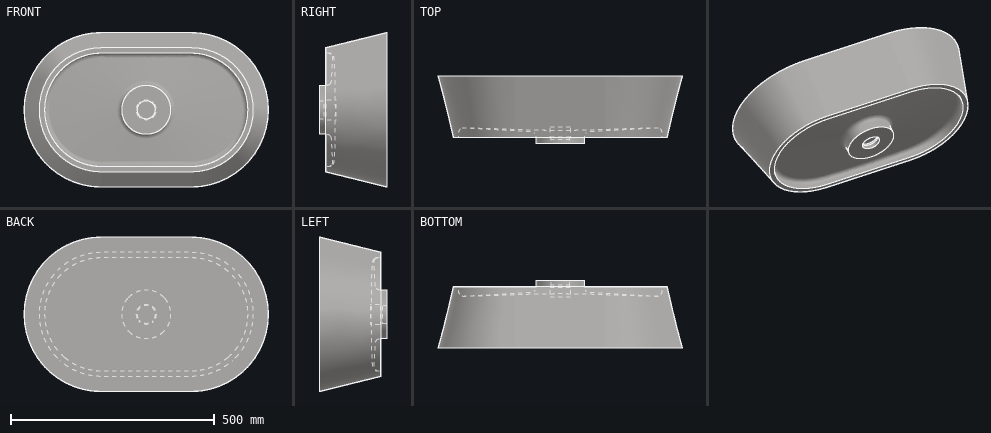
import cadquery as cq

rim_length = 599.5
rim_height = 379.5
rim_radius = rim_height / 2
straight_length = rim_length - rim_height
base_radius = 152.0
body_depth = 151.0

recess_radius = 139.0
floor_center_depth = 10.0
floor_end_depth = 24.5
floor_fillet = 11.0

boss_radius = 60.0
boss_projection = 15.0

bore_radius = 22.0
bore_length = 11.0
flare_length = 6.0
plug_radius = 24.5
plug_length = 24.0

boss_face = body_depth + boss_projection
recess_half_length = straight_length / 2 + recess_radius
flare_start = boss_face - bore_length
plug_face = flare_start - flare_length


def plane_at(depth):
    """XZ plane at the given distance below the rim; its normal is -Y."""
    return cq.Workplane("XZ", origin=(0, -depth, 0))


def add_stadium(workplane, radius):
    """Draw a stadium whose end radius is given and whose straights run along X."""
    return workplane.slot2D(straight_length + 2 * radius, 2 * radius)


def make_tapered_body():
    rim = add_stadium(plane_at(0), rim_radius)
    return add_stadium(rim.workplane(offset=body_depth), base_radius).loft(ruled=True)


def make_floor_cone():
    """Solid of revolution from the conical recess floor out to the base plane."""
    return (
        cq.Workplane("XY")
        .moveTo(0, -body_depth)
        .lineTo(0, floor_center_depth - body_depth)
        .lineTo(recess_half_length, floor_end_depth - body_depth)
        .lineTo(recess_half_length, -body_depth)
        .close()
        .revolve(360, (0, 0, 0), (0, 1, 0))
    )


def make_recess_cutter():
    """Stadium recess around the boss, rounded where the floor meets the walls and the boss."""
    start_depth = body_depth - floor_end_depth
    stadium = add_stadium(plane_at(start_depth), recess_radius).extrude(floor_end_depth)
    boss_core = plane_at(start_depth).circle(boss_radius).extrude(floor_end_depth)
    cutter = stadium.intersect(make_floor_cone()).cut(boss_core)
    return cutter.faces("%CONE").edges().fillet(floor_fillet)


def make_boss_tip():
    """Part of the boss that projects past the base plane."""
    return plane_at(body_depth).circle(boss_radius).extrude(boss_projection)


def make_bore_flare():
    """Conical passage between the plug face and the bore."""
    wide_end = plane_at(plug_face).circle(plug_radius)
    return wide_end.workplane(offset=flare_length).circle(bore_radius).loft()


def make_plug():
    return plane_at(plug_face - plug_length).circle(plug_radius).extrude(plug_length)


def make_basin():
    bore = plane_at(flare_start).circle(bore_radius).extrude(bore_length)
    body = make_tapered_body().cut(make_recess_cutter()).union(make_boss_tip())
    return body.cut(bore).cut(make_bore_flare()).cut(make_plug())


basin = make_basin()
plug = make_plug()
result = cq.Compound.makeCompound([basin.val(), plug.val()])